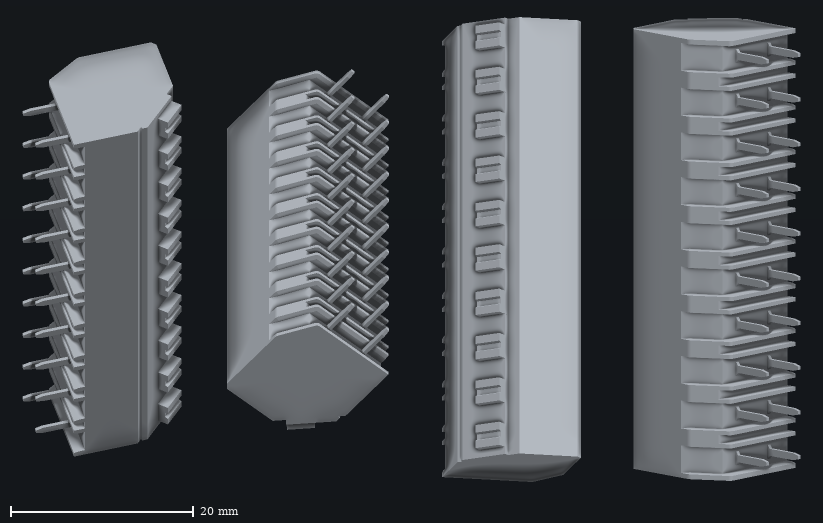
import cadquery as cq
import math

HEIGHT = 49.2
WIDTH = 12.7
DEPTH = 16.75
POLES = 10

PIN_LENGTH = 3.5
PIN_THICKNESS = 0.4
PIN_CENTRES_X = (4.62, 9.65)
SHAFT_WIDTH = 0.8
ROOT_WIDTH = 1.53
ROOT_STRAIGHT = 0.15
ROOT_FLARE = 0.25
TIP_WIDTH = 0.4
TIP_TAPER = 0.8

BODY_DEPTH = 12.95
BACK_CHAMFER = 0.5
LOWER_BEVEL_X = 2.5
LOWER_BEVEL_Y = 4.1
BEVEL_TOP_RADIUS = 0.85
BEVEL_FOOT_RADIUS = 0.6
SHOULDER_X = 7.05
NOTCH_Y = 11.9
BUTTON_FACE_SUM = 20.85
LIP_X = 12.4
LIP_LENGTH = 0.6
SIDE_NOTCH_X = 12.1
SIDE_NOTCH_Y = 7.8
SIDE_TOP_Y = 7.3

END_WALL = 0.55
POCKET_WIDTH = 3.1
POCKET_DEPTH = 1.25
POCKET_FOOT_X = 2.35
POCKET_TOP_Y = 5.25
RIB_THICKNESS = 0.45
FLARE_DEPTH = 0.5
FLARE_WIDTH = 0.125
PITCH = (HEIGHT - 2 * END_WALL - POCKET_WIDTH) / (POLES - 1)
SLOT_WIDTH = PITCH - POCKET_WIDTH - 2 * RIB_THICKNESS

BUTTON_LENGTH = 3.1
BUTTON_HEIGHT = 1.25
BUTTON_WIDTH = 2.6
BUTTON_OVERLAP = 0.25
GROOVE_TOP_WIDTH = 0.9
GROOVE_FLOOR_WIDTH = 0.6
GROOVE_DEPTH = 0.35

DIAGONAL = math.sqrt(0.5)
BUTTON_FOOT_Y = DEPTH - PIN_LENGTH - BUTTON_HEIGHT * DIAGONAL
BUTTON_FOOT_X = BUTTON_FACE_SUM - BUTTON_FOOT_Y
pole_centres = [END_WALL + POCKET_WIDTH / 2 + pole * PITCH for pole in range(POLES)]


def round_edge(body, x, y, radius):
    """Fillet the upright edge that stands at (x, y)."""
    edge_middle = cq.selectors.NearestToPointSelector((x, y, HEIGHT / 2))
    return body.edges(edge_middle).fillet(radius)


def make_body():
    notch_x = SHOULDER_X + BODY_DEPTH - NOTCH_Y
    lip_top_y = BUTTON_FACE_SUM - LIP_X
    outline = [
        (LOWER_BEVEL_X, 0),
        (WIDTH, 0),
        (WIDTH, SIDE_TOP_Y),
        (SIDE_NOTCH_X, SIDE_NOTCH_Y),
        (LIP_X, lip_top_y - LIP_LENGTH),
        (LIP_X, lip_top_y),
        (BUTTON_FOOT_X, BUTTON_FOOT_Y),
        (notch_x, NOTCH_Y),
        (SHOULDER_X, BODY_DEPTH),
        (BACK_CHAMFER, BODY_DEPTH),
        (0, BODY_DEPTH - BACK_CHAMFER),
        (0, LOWER_BEVEL_Y),
    ]
    body = cq.Workplane("XY").polyline(outline).close().extrude(HEIGHT)
    body = round_edge(body, 0, LOWER_BEVEL_Y, BEVEL_TOP_RADIUS)
    return round_edge(body, LOWER_BEVEL_X, 0, BEVEL_FOOT_RADIUS)


def make_rib_flank():
    """Tapered slab that fills the mouth of a pocket, leaving its outer edge flared."""
    outline = [
        (0, LOWER_BEVEL_Y),
        (LOWER_BEVEL_X, 0),
        (WIDTH + FLARE_DEPTH, 0),
        (WIDTH + FLARE_DEPTH, BODY_DEPTH),
        (0, BODY_DEPTH),
    ]
    taper = math.degrees(math.atan2(FLARE_DEPTH, FLARE_WIDTH))
    return cq.Workplane("XY").polyline(outline).close().extrude(FLARE_WIDTH, taper=taper)


def make_pocket():
    """Cutter for one pin pocket, centred on Z = 0."""
    outline = [
        (0, 0),
        (WIDTH, 0),
        (WIDTH, POCKET_DEPTH),
        (POCKET_FOOT_X, POCKET_DEPTH),
        (0, POCKET_TOP_Y),
    ]
    half = POCKET_WIDTH / 2
    pocket = cq.Workplane("XY").polyline(outline).close().extrude(half, both=True)
    flank = make_rib_flank().translate((0, 0, -half))
    return pocket.cut(flank).cut(flank.mirror("XY"))


def make_slot():
    """Cutter for the slot between two poles, centred on Z = 0."""
    return cq.Workplane("XY").box(WIDTH, POCKET_DEPTH, SLOT_WIDTH, centered=(False, False, True))


def make_pin():
    """Flat pin centred on X = 0 and Z = 0, rooted in the pocket floor."""
    tip_y = -PIN_LENGTH
    root_end_y = POCKET_DEPTH - ROOT_STRAIGHT
    half_outline = [
        (POCKET_DEPTH, ROOT_WIDTH / 2),
        (root_end_y, ROOT_WIDTH / 2),
        (root_end_y - ROOT_FLARE, SHAFT_WIDTH / 2),
        (tip_y + TIP_TAPER, SHAFT_WIDTH / 2),
        (tip_y, TIP_WIDTH / 2),
    ]
    mirrored = [(y, -z) for y, z in reversed(half_outline)]
    pin = cq.Workplane("YZ").polyline(half_outline + mirrored).close()
    return pin.extrude(PIN_THICKNESS / 2, both=True)


def make_button():
    """Grooved button centred on Z = 0, standing on the 45 degree face."""
    face = cq.Plane(
        origin=(BUTTON_FOOT_X, BUTTON_FOOT_Y, 0),
        xDir=(0, 0, -1),
        normal=(DIAGONAL, -DIAGONAL, 0),
    )
    half_outline = [
        (BUTTON_WIDTH / 2, -BUTTON_OVERLAP),
        (BUTTON_WIDTH / 2, BUTTON_HEIGHT),
        (GROOVE_TOP_WIDTH / 2, BUTTON_HEIGHT),
        (GROOVE_FLOOR_WIDTH / 2, BUTTON_HEIGHT - GROOVE_DEPTH),
    ]
    mirrored = [(-along, out) for along, out in reversed(half_outline)]
    return cq.Workplane(face).polyline(half_outline + mirrored).close().extrude(BUTTON_LENGTH)


terminal = make_body()
pocket = make_pocket()
slot = make_slot()
pin = make_pin()
button = make_button()

for centre in pole_centres:
    terminal = terminal.cut(pocket.translate((0, 0, centre)))
for centre in pole_centres[1:]:
    terminal = terminal.cut(slot.translate((0, 0, centre - PITCH / 2)))
for centre in pole_centres:
    terminal = terminal.union(button.translate((0, 0, centre)))
    for pin_x in PIN_CENTRES_X:
        terminal = terminal.union(pin.translate((pin_x, 0, centre)))

result = terminal